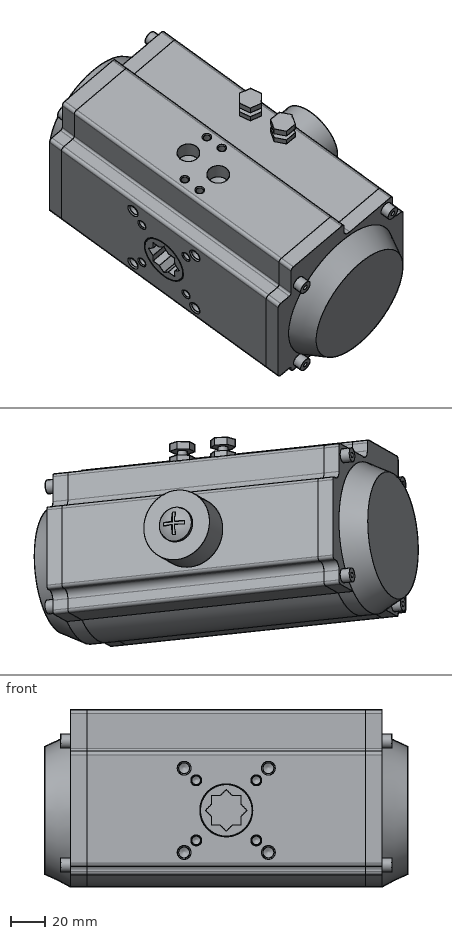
import cadquery as cq
import math


overall_length = 213.0
flange_length = 182.8
housing_length = 163.5

bore_wall_radius = 45.0
back_face_y = bore_wall_radius
front_face_y = -42.8
base_z = -38.0
shoulder_z = 47.0
top_z = 59.0
port_block_back_y = 3.0
back_pad_y = 53.9
back_pad_half_height = 25.0
front_pad_y = -53.9
front_pad_top_z = 34.7
front_pad_bottom_z = -33.0
edge_radius = 2.1
wide_blend_radius = 5.0
small_blend_radius = 1.5

dome_end_radius = 37.5
screw_head_diameter = 8.3
screw_head_length = 5.8
screw_socket_radius = 1.5
screw_socket_depth = 3.2
screw_back_y = 39.0
screw_front_y = -36.6
screw_upper_z = 40.7
screw_lower_z = -32.0

shaft_radius = 15.1
shaft_clearance = 0.5
shaft_clearance_depth = 1.0
star_square_side = 17.3
star_depth = 17.0

drill_tip_angle = 118.0
outer_mount_circle = 69.9
outer_mount_radius = 3.2
outer_mount_mouth_radius = 4.0
inner_mount_circle = 49.8
inner_mount_radius = 2.5
inner_mount_mouth_radius = 3.2
mount_depth = 12.8
port_centre_y = -19.8
port_x = 12.0
port_radius = 6.5
port_depth = 10.6
valve_screw_spread = 16.0
valve_screw_radius = 2.1
valve_screw_mouth_radius = 2.8
valve_screw_depth = 8.5

indicator_diameter = 42.0
indicator_end_y = 73.5
indicator_screw_radius = 10.2
indicator_rim_end_y = 75.5
indicator_dome_end_y = 79.0
indicator_slot_width = 2.0
indicator_slot_depth = 1.5

stop_x = 13.0
stop_y = 35.0
stop_hex_diameter = 15.0
stop_nut_top_z = 51.0
stop_neck_diameter = 6.0
stop_head_bottom_z = 54.5
stop_head_top_z = top_z
stop_turns = {-stop_x: 12.0, stop_x: 29.0}

section_corners = [
    (back_face_y, base_z, edge_radius),
    (back_face_y, -back_pad_half_height, wide_blend_radius),
    (back_pad_y, -back_pad_half_height, edge_radius),
    (back_pad_y, back_pad_half_height, edge_radius),
    (back_face_y, back_pad_half_height, wide_blend_radius),
    (back_face_y, shoulder_z, edge_radius),
    (port_block_back_y, shoulder_z, wide_blend_radius),
    (port_block_back_y, top_z, edge_radius),
    (front_face_y, top_z, edge_radius),
    (front_face_y, front_pad_top_z, small_blend_radius),
    (front_pad_y, front_pad_top_z, edge_radius),
    (front_pad_y, front_pad_bottom_z, edge_radius),
    (front_face_y, front_pad_bottom_z, small_blend_radius),
    (front_face_y, base_z, edge_radius),
]


def rounded_corner(previous, corner, following):
    """Start, middle and end points of the arc that rounds a right-angled corner."""
    y, z, radius = corner

    def unit_toward(other):
        length = math.hypot(other[0] - y, other[1] - z)
        return (other[0] - y) / length, (other[1] - z) / length

    back = unit_toward(previous)
    ahead = unit_toward(following)
    inset = radius * (1 - math.sqrt(0.5))
    start = (y + radius * back[0], z + radius * back[1])
    middle = (y + inset * (back[0] + ahead[0]), z + inset * (back[1] + ahead[1]))
    end = (y + radius * ahead[0], z + radius * ahead[1])
    return start, middle, end


def body_section(x_start, length):
    """The outer section, with its round bore wall, extruded along +X."""
    count = len(section_corners)
    arcs = [
        rounded_corner(section_corners[i - 1], section_corners[i], section_corners[(i + 1) % count])
        for i in range(count)
    ]
    plane = cq.Workplane("YZ", origin=(x_start, 0, 0))
    outline = plane.moveTo(*arcs[0][0]).threePointArc(*arcs[0][1:])
    for start, middle, end in arcs[1:]:
        outline = outline.lineTo(*start).threePointArc(middle, end)
    wall = plane.circle(bore_wall_radius).extrude(length)
    return outline.close().extrude(length).union(wall)


def drilled_hole(radius, depth, mouth_radius):
    """Cutter pointing down from the origin: chamfered mouth, straight wall, conical tip."""
    chamfer = mouth_radius - radius
    tip_length = radius / math.tan(math.radians(drill_tip_angle / 2))
    half_profile = [(0, 0), (mouth_radius, 0)]
    if chamfer > 0:
        half_profile.append((radius, -chamfer))
    half_profile += [(radius, -depth), (0, -depth - tip_length)]
    return cq.Workplane("XZ").polyline(half_profile).close().revolve(360, (0, 0), (0, 1))


def cut_front_holes(body):
    """Two square patterns of tapped mounting holes around the drive axis."""
    patterns = [
        (outer_mount_circle, outer_mount_radius, outer_mount_mouth_radius),
        (inner_mount_circle, inner_mount_radius, inner_mount_mouth_radius),
    ]
    for circle_diameter, radius, mouth_radius in patterns:
        offset = circle_diameter / 2 * math.sqrt(0.5)
        hole = drilled_hole(radius, mount_depth, mouth_radius).rotate((0, 0, 0), (1, 0, 0), 90)
        for x in (-offset, offset):
            for z in (-offset, offset):
                body = body.cut(hole.translate((x, front_pad_y, z)))
    return body


def cut_drive_socket(body):
    """Eight-pointed star socket in the shaft end, with a thin clearance ring around the shaft."""
    plane = cq.Workplane("XZ", origin=(0, front_pad_y, 0))
    ring = plane.circle(shaft_radius + shaft_clearance).circle(shaft_radius).extrude(-shaft_clearance_depth)
    square = plane.rect(star_square_side, star_square_side).extrude(-star_depth)
    star = square.union(square.rotate((0, 0, 0), (0, 1, 0), 45))
    return body.cut(ring).cut(star)


def cut_top_holes(body):
    """Two air ports and the four tapped holes of the valve interface."""
    port = drilled_hole(port_radius, port_depth, port_radius)
    for x in (-port_x, port_x):
        body = body.cut(port.translate((x, port_centre_y, top_z)))
    screw_hole = drilled_hole(valve_screw_radius, valve_screw_depth, valve_screw_mouth_radius)
    back_y = port_centre_y + valve_screw_spread
    front_y = port_centre_y - valve_screw_spread
    for x, y in [(-port_x, back_y), (0, back_y), (0, front_y), (port_x, front_y)]:
        body = body.cut(screw_hole.translate((x, y, top_z)))
    return body


def make_indicator():
    """Round indicator with a domed, cross-slotted screw on its end; axis along Y."""
    rise = indicator_dome_end_y - indicator_rim_end_y
    dome_radius = (indicator_screw_radius ** 2 + rise ** 2) / (2 * rise)
    half_angle = math.asin(indicator_screw_radius / dome_radius) / 2
    dome_middle = (
        dome_radius * math.sin(half_angle),
        indicator_dome_end_y - dome_radius * (1 - math.cos(half_angle)),
    )
    body_radius = indicator_diameter / 2
    indicator = (
        cq.Workplane("XY")
        .moveTo(0, back_face_y)
        .lineTo(body_radius, back_face_y)
        .lineTo(body_radius, indicator_end_y)
        .lineTo(indicator_screw_radius, indicator_end_y)
        .lineTo(indicator_screw_radius, indicator_rim_end_y)
        .threePointArc(dome_middle, (0, indicator_dome_end_y))
        .close()
        .revolve(360, (0, 0), (0, 1))
    )
    slot_plane = cq.Workplane("XZ", origin=(0, indicator_dome_end_y, 0))
    slot_length = 2 * indicator_screw_radius
    slots = (
        slot_plane.rect(slot_length, indicator_slot_width).extrude(indicator_slot_depth)
        .union(slot_plane.rect(indicator_slot_width, slot_length).extrude(indicator_slot_depth))
    )
    return indicator.cut(slots)


def make_stop_screw(x, turn):
    """Lock nut, neck and hexagon head of one travel stop screw."""

    def hexagon(z_start, z_end):
        prism = cq.Workplane("XY").polygon(6, stop_hex_diameter).extrude(z_end - z_start)
        return prism.rotate((0, 0, 0), (0, 0, 1), turn).translate((x, stop_y, z_start))

    neck = (
        cq.Workplane("XY", origin=(x, stop_y, shoulder_z))
        .circle(stop_neck_diameter / 2)
        .extrude(stop_head_top_z - shoulder_z)
    )
    return neck.union(hexagon(shoulder_z, stop_nut_top_z)).union(hexagon(stop_head_bottom_z, stop_head_top_z))


def make_housing():
    body = body_section(-housing_length / 2, housing_length)
    body = cut_front_holes(body)
    body = cut_drive_socket(body)
    body = cut_top_holes(body)
    body = body.union(make_indicator())
    for x, turn in stop_turns.items():
        body = body.union(make_stop_screw(x, turn))
    return body


def make_end_cap():
    """The +X end cap: flange, tapered dome and four socket screw heads."""
    flange_x = flange_length / 2
    flange = body_section(housing_length / 2, (flange_length - housing_length) / 2)
    dome = (
        cq.Workplane("XY")
        .polyline([
            (flange_x, 0),
            (flange_x, bore_wall_radius),
            (overall_length / 2, dome_end_radius),
            (overall_length / 2, 0),
        ])
        .close()
        .revolve(360, (0, 0), (1, 0))
    )
    screw_places = [(y, z) for y in (screw_back_y, screw_front_y) for z in (screw_lower_z, screw_upper_z)]
    heads = (
        cq.Workplane("YZ", origin=(flange_x, 0, 0))
        .pushPoints(screw_places)
        .circle(screw_head_diameter / 2)
        .extrude(screw_head_length)
    )
    sockets = (
        cq.Workplane("YZ", origin=(flange_x + screw_head_length, 0, 0))
        .pushPoints(screw_places)
        .circle(screw_socket_radius)
        .extrude(-screw_socket_depth)
    )
    return flange.union(dome).union(heads).cut(sockets)


housing = make_housing()
right_cap = make_end_cap()
end_caps = [right_cap, right_cap.mirror("YZ")]

result = cq.Compound.makeCompound([housing.val(), *[cap.val() for cap in end_caps]])